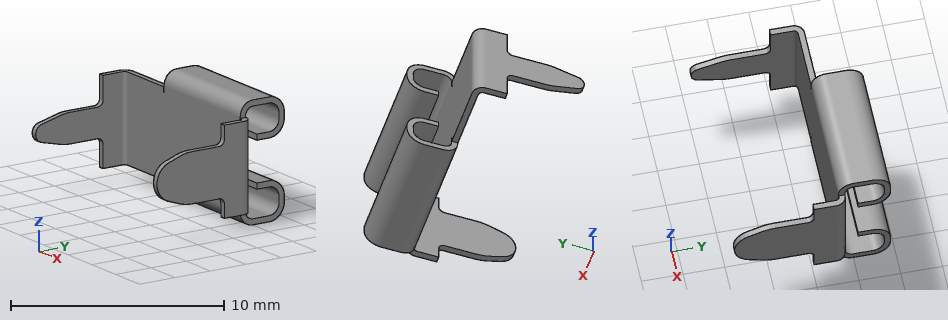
import cadquery as cq
import math

sheet = 0.3
length = 10.46
plate_height = 4.55

flange_bend_radius = 0.5
flange_depth = 1.58
tab_reach = 5.39
tab_root_radius = 0.3
tab_shoulder_radius = 2.09

narrow_half_width = 0.77
narrow_tip_radius = 0.46
narrow_taper = 14.0
wide_half_width = 1.28
wide_tip_radius = 1.0
wide_taper = 19.2

curl_start = 3.51
curl_length = 6.38
curl_half_span = 3.049
curl_rise = 2.2
curl_height = 2.01
curl_lip_gap = 0.64
root_bend_radius = 0.72
curl_bend_radius = 0.87

slit_width = 0.03
slit_depth = 0.26


def make_channel():
    """U-shaped strip: the plate with both flanges bent forward."""

    def bent_block(inset):
        """Block open to the front, with its rear vertical edges rounded."""
        return (
            cq.Workplane("XY")
            .box(length - 2 * inset, flange_depth - inset, plate_height)
            .translate((0, -(flange_depth + inset) / 2, 0))
            .edges("|Z and >Y")
            .fillet(flange_bend_radius - inset)
        )

    return bent_block(0).cut(bent_block(sheet))


def make_tab(left_x, half_width, tip_radius, taper_degrees):
    """Tapered tab with a round tip, rounded shoulders and filleted root."""
    taper = math.radians(taper_degrees)
    tip_center = -tab_reach + tip_radius
    tangent_y = tip_center - tip_radius * math.sin(taper)
    tangent_z = tip_radius * math.cos(taper)
    shoulder_y = tangent_y + (half_width - tangent_z) / math.tan(taper)
    root_y = -flange_depth
    root_z = half_width + tab_root_radius
    neck_y = root_y - tab_root_radius
    arc_offset = tab_root_radius * (1 - math.sqrt(0.5))

    def root_fillet(side):
        return (root_y - arc_offset, side * (half_width + arc_offset))

    tab = (
        cq.Workplane("YZ", origin=(left_x, 0, 0))
        .moveTo(root_y, root_z)
        .threePointArc(root_fillet(1), (neck_y, half_width))
        .lineTo(shoulder_y, half_width)
        .lineTo(tangent_y, tangent_z)
        .threePointArc((-tab_reach, 0), (tangent_y, -tangent_z))
        .lineTo(shoulder_y, -half_width)
        .lineTo(neck_y, -half_width)
        .threePointArc(root_fillet(-1), (root_y, -root_z))
        .close()
        .extrude(sheet)
    )
    middle_x = left_x + sheet / 2
    for side in (1, -1):
        shoulder = cq.selectors.NearestToPointSelector((middle_x, shoulder_y, side * half_width))
        tab = tab.edges("|X").edges(shoulder).fillet(tab_shoulder_radius)
    return tab


def make_curl():
    """Upper curl: a hook-shaped strip running from the plate edge up, back and down."""
    top = curl_half_span
    lip_bottom = top - curl_height
    plate_edge = top - root_bend_radius

    def hook_block(inset):
        """Rounded block spanning the hook, drawn in by the inset on every side."""
        front = -sheet + inset
        back = curl_rise - inset
        block = (
            cq.Workplane("YZ", origin=(-length / 2 + curl_start, 0, 0))
            .moveTo(front, lip_bottom + inset)
            .lineTo(back, lip_bottom + inset)
            .lineTo(back, top - inset)
            .lineTo(front, top - inset)
            .close()
            .extrude(curl_length)
        )
        block = block.edges("|X and >Y").fillet(curl_bend_radius - inset)
        return block.edges("|X and <Y and >Z").fillet(root_bend_radius - inset)

    mouth = cq.Workplane("XY").box(
        length, curl_lip_gap, plate_edge - lip_bottom, centered=(True, False, False)
    ).translate((0, 0, lip_bottom))
    return hook_block(0).cut(hook_block(sheet)).cut(mouth)


def make_slits():
    """Four narrow relief slits in the plate, just outside the curl ends."""
    left_slit = -length / 2 + curl_start - slit_width / 2
    right_slit = -length / 2 + curl_start + curl_length + slit_width / 2
    slit_z = (plate_height - slit_depth) / 2
    centers = [(x, z) for x in (left_slit, right_slit) for z in (slit_z, -slit_z)]
    return (
        cq.Workplane("XZ")
        .pushPoints(centers)
        .rect(slit_width, slit_depth)
        .extrude(sheet)
    )


narrow_tab = make_tab(-length / 2, narrow_half_width, narrow_tip_radius, narrow_taper)
wide_tab = make_tab(length / 2 - sheet, wide_half_width, wide_tip_radius, wide_taper)
upper_curl = make_curl()
lower_curl = upper_curl.mirror("XY")

result = (
    make_channel()
    .cut(make_slits())
    .union(narrow_tab)
    .union(wide_tab)
    .union(upper_curl)
    .union(lower_curl)
)